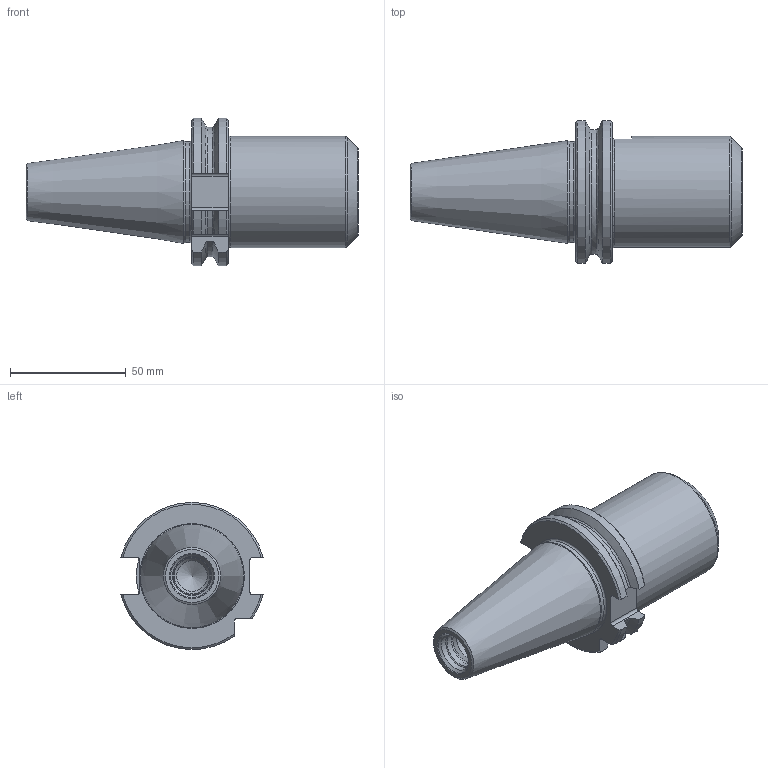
import cadquery as cq
import math


GAUGE_RADIUS = 44.45 / 2
TAPER_LENGTH = 68.25
TAPER_END_X = -0.3
TAPER_PER_LENGTH = 7 / 24
SMALL_END_RADIUS = GAUGE_RADIUS - TAPER_LENGTH * TAPER_PER_LENGTH / 2
SMALL_END_X = -TAPER_LENGTH
SMALL_END_CHAMFER_LENGTH = 0.5
SMALL_END_CHAMFER_DEPTH = 0.8

NECK_RADIUS = 21.8
NECK_START_X = 0.6
NECK_FILLET = 0.8

FLANGE_RADIUS = 63.5 / 2
FLANGE_START_X = 3.18
FLANGE_END_X = 19.05
FLANGE_WIDTH = FLANGE_END_X - FLANGE_START_X
FLANGE_CHAMFER = 0.8
GROOVE_CENTRE_X = (FLANGE_START_X + FLANGE_END_X) / 2
GROOVE_FLOOR_RADIUS = 28.0
GROOVE_MOUTH_WIDTH = 7.4
GROOVE_WALL_ANGLE = math.radians(30)
GROOVE_FILLET = 1.0

BODY_RADIUS = 24.0
BODY_END_X = 75.0
BODY_ROOT_FILLET = 0.8
BODY_CHAMFER = 5.0
BODY_EDGE_FILLET = 1.0

MOUTH_RADIUS = 9.65
COUNTERSINK_RADIUS = 9.3
COUNTERSINK_START_DEPTH = 0.35
PILOT_RADIUS = 8.4
PILOT_START_DEPTH = 1.4
PILOT_END_DEPTH = 4.1
THREAD_RADIUS = 7.95
THREAD_START_DEPTH = 4.5
THREAD_END_DEPTH = 7.45
THREAD_END_FILLET = 1.1
DRILL_RADIUS = 6.65
DRILL_START_DEPTH = 9.0
DRILL_END_DEPTH = 30.0
DRILL_POINT_HALF_ANGLE = math.radians(59)

SLOT_WIDTH = 16.1
SLOT_FLOOR_FRONT = 25.0
SLOT_FLOOR_BACK = 22.6
BACK_SLOT_END_X = 27.5
SLOT_FILLET = 1.2
NOTCH_TOP_Z = -18.2
NOTCH_WALL_Y = -18.3
CUT_MARGIN = 2.0
SELECT_MARGIN = 0.1


def turned(profile):
    """Revolve an XY profile around the X axis."""
    return profile.revolve(360, (0, 0, 0), (1, 0, 0))


def edges_between(start_x, end_x):
    """Selector for edges centred within a range of X, ends included."""
    return cq.selectors.BoxSelector(
        (start_x - SELECT_MARGIN, -FLANGE_RADIUS, -FLANGE_RADIUS),
        (end_x + SELECT_MARGIN, FLANGE_RADIUS, FLANGE_RADIUS),
    )


def make_shank_and_neck():
    chamfer_x = SMALL_END_X + SMALL_END_CHAMFER_LENGTH
    chamfer_radius = SMALL_END_RADIUS + SMALL_END_CHAMFER_LENGTH * TAPER_PER_LENGTH / 2
    taper_end_radius = GAUGE_RADIUS + TAPER_END_X * TAPER_PER_LENGTH / 2
    fillet_x = FLANGE_START_X - NECK_FILLET
    fillet_radius = NECK_RADIUS + NECK_FILLET
    profile = (
        cq.Workplane("XY")
        .moveTo(SMALL_END_X, 0)
        .lineTo(SMALL_END_X, SMALL_END_RADIUS - SMALL_END_CHAMFER_DEPTH)
        .lineTo(chamfer_x, chamfer_radius)
        .lineTo(TAPER_END_X, taper_end_radius)
        .lineTo(NECK_START_X, NECK_RADIUS)
        .lineTo(fillet_x, NECK_RADIUS)
        .radiusArc((FLANGE_START_X, fillet_radius), -NECK_FILLET)
        .lineTo(FLANGE_START_X, 0)
        .close()
    )
    return turned(profile)


def make_flange():
    blank = (
        cq.Workplane("YZ")
        .workplane(offset=FLANGE_START_X)
        .circle(FLANGE_RADIUS)
        .extrude(FLANGE_WIDTH)
        .edges("%CIRCLE")
        .chamfer(FLANGE_CHAMFER)
    )
    wall_slope = math.tan(GROOVE_WALL_ANGLE)
    mouth_half = GROOVE_MOUTH_WIDTH / 2
    floor_half = mouth_half - (FLANGE_RADIUS - GROOVE_FLOOR_RADIUS) * wall_slope
    outer_half = mouth_half + CUT_MARGIN * wall_slope
    outer_radius = FLANGE_RADIUS + CUT_MARGIN
    groove = turned(
        cq.Workplane("XY")
        .moveTo(GROOVE_CENTRE_X - outer_half, outer_radius)
        .lineTo(GROOVE_CENTRE_X - floor_half, GROOVE_FLOOR_RADIUS)
        .lineTo(GROOVE_CENTRE_X + floor_half, GROOVE_FLOOR_RADIUS)
        .lineTo(GROOVE_CENTRE_X + outer_half, outer_radius)
        .close()
    )
    floor_corners = cq.selectors.RadiusNthSelector(0)
    groove = groove.edges("%CIRCLE").edges(floor_corners).fillet(GROOVE_FILLET)
    return blank.cut(groove)


def make_body():
    fillet_x = FLANGE_END_X + BODY_ROOT_FILLET
    fillet_radius = BODY_RADIUS + BODY_ROOT_FILLET
    profile = (
        cq.Workplane("XY")
        .moveTo(FLANGE_START_X, 0)
        .lineTo(FLANGE_START_X, BODY_RADIUS)
        .lineTo(FLANGE_END_X, BODY_RADIUS)
        .lineTo(FLANGE_END_X, fillet_radius)
        .radiusArc((fillet_x, BODY_RADIUS), -BODY_ROOT_FILLET)
        .lineTo(BODY_END_X, BODY_RADIUS)
        .lineTo(BODY_END_X, 0)
        .close()
    )
    body = turned(profile)
    body = body.faces(">X").edges().chamfer(BODY_CHAMFER)
    chamfer_edges = edges_between(BODY_END_X - BODY_CHAMFER, BODY_END_X)
    return body.edges("%CIRCLE").edges(chamfer_edges).fillet(BODY_EDGE_FILLET)


def make_bore():
    tip_depth = DRILL_END_DEPTH + DRILL_RADIUS / math.tan(DRILL_POINT_HALF_ANGLE)
    steps = [
        (0, MOUTH_RADIUS),
        (COUNTERSINK_START_DEPTH, COUNTERSINK_RADIUS),
        (PILOT_START_DEPTH, PILOT_RADIUS),
        (PILOT_END_DEPTH, PILOT_RADIUS),
        (THREAD_START_DEPTH, THREAD_RADIUS),
        (THREAD_END_DEPTH, THREAD_RADIUS),
        (DRILL_START_DEPTH, DRILL_RADIUS),
        (DRILL_END_DEPTH, DRILL_RADIUS),
        (tip_depth, 0),
    ]
    profile = cq.Workplane("XY").moveTo(SMALL_END_X, 0)
    for depth, radius in steps:
        profile = profile.lineTo(SMALL_END_X + depth, radius)
    bore = turned(profile.close())
    thread_end_x = SMALL_END_X + THREAD_END_DEPTH
    return bore.edges("%CIRCLE").edges(edges_between(thread_end_x, thread_end_x)).fillet(THREAD_END_FILLET)


def make_slot(side, floor_distance, end_x):
    """Drive slot on side -1 (-Y) or +1 (+Y), with rounded floor corners."""
    start_x = FLANGE_START_X
    depth = FLANGE_RADIUS + CUT_MARGIN - floor_distance
    floor_edges = "|X and >Y" if side < 0 else "|X and <Y"
    return (
        cq.Workplane("XY")
        .box(end_x - start_x, depth, SLOT_WIDTH)
        .edges(floor_edges)
        .fillet(SLOT_FILLET)
        .translate(((start_x + end_x) / 2, side * (floor_distance + depth / 2), 0))
    )


def make_notch():
    """Orientation notch across the flange at the lower -Y side, with a rounded inner corner."""
    reach = FLANGE_RADIUS + CUT_MARGIN
    return (
        cq.Workplane("XY")
        .box(FLANGE_WIDTH, reach + NOTCH_WALL_Y, reach + NOTCH_TOP_Z)
        .edges("|X and >Y and >Z")
        .fillet(SLOT_FILLET)
        .translate((GROOVE_CENTRE_X, (NOTCH_WALL_Y - reach) / 2, (NOTCH_TOP_Z - reach) / 2))
    )


result = make_shank_and_neck().union(make_flange()).union(make_body())
result = result.cut(make_bore())
result = result.cut(make_slot(-1, SLOT_FLOOR_FRONT, FLANGE_END_X))
result = result.cut(make_slot(+1, SLOT_FLOOR_BACK, BACK_SLOT_END_X))
result = result.cut(make_notch())